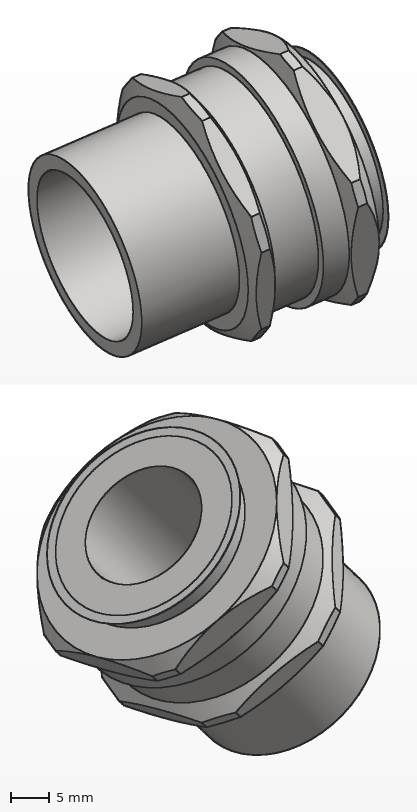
import cadquery as cq
import math

sleeve_diameter = 28.6
sleeve_end = 14.95
body_diameter = 33.0
body_start = 19.07
body_end = 25.72
collar_diameter = 35.5
collar_end = 29.68
neck_diameter = 26.5
total_length = 37.67
lip_diameter = 29.05
lip_thickness = 0.08

lock_nut_flats = 35.05
lock_nut_corners = 37.5
cap_nut_flats = 36.0
cap_nut_corners = 39.57
cap_nut_end = 34.1

hex_chamfer_angle = 30.0
cap_back_chamfer_angle = 45.0

bore_diameter = 24.2
bore_depth = 14.95
passage_diameter = 17.5


def cylinder(diameter, start, end):
    """Solid cylinder around the Y axis from start to end."""
    sketch = cq.Workplane("XZ", origin=(0, start, 0)).circle(diameter / 2)
    return sketch.extrude(start - end)


def hex_prism(across, start, end, turn):
    """Hexagonal prism along Y; turn is the angle of its first corner from X."""
    corner_diameter = across / math.cos(math.pi / 6)
    prism = cq.Workplane("XZ", origin=(0, start, 0)).polygon(6, corner_diameter).extrude(start - end)
    return prism.rotate((0, 0, 0), (0, 1, 0), turn)


def chamfered_hex(flats, corners, start, end, front_diameter, back_diameter, back_angle):
    """Hexagon with cut corners, trimmed by a cone at each end."""
    outer_radius = flats / math.sqrt(3)
    front_radius = front_diameter / 2
    back_radius = back_diameter / 2
    front_run = (outer_radius - front_radius) * math.tan(math.radians(hex_chamfer_angle))
    back_run = (outer_radius - back_radius) * math.tan(math.radians(back_angle))
    envelope = (
        cq.Workplane("XY")
        .moveTo(0, start)
        .lineTo(front_radius, start)
        .lineTo(outer_radius, start + front_run)
        .lineTo(outer_radius, end - back_run)
        .lineTo(back_radius, end)
        .lineTo(0, end)
        .close()
        .revolve(360, (0, 0, 0), (0, 1, 0))
    )
    hexagon = hex_prism(flats, start, end, 30)
    corner_cuts = hex_prism(corners, start, end, 0)
    return hexagon.intersect(corner_cuts).intersect(envelope)


sleeve = cylinder(sleeve_diameter, 0, sleeve_end)
lock_nut = chamfered_hex(
    lock_nut_flats, lock_nut_corners, sleeve_end, body_start,
    body_diameter, body_diameter, hex_chamfer_angle,
)
body = cylinder(body_diameter, body_start, body_end)
collar = cylinder(collar_diameter, body_end, collar_end)
cap_nut = chamfered_hex(
    cap_nut_flats, cap_nut_corners, collar_end, cap_nut_end,
    collar_diameter, cap_nut_flats, cap_back_chamfer_angle,
)
neck = cylinder(neck_diameter, cap_nut_end, total_length)
lip = cylinder(lip_diameter, total_length - lip_thickness, total_length)

result = sleeve
for section in (lock_nut, body, collar, cap_nut, neck, lip):
    result = result.union(section)

result = result.cut(cylinder(bore_diameter, 0, bore_depth))
result = result.cut(cylinder(passage_diameter, 0, total_length))